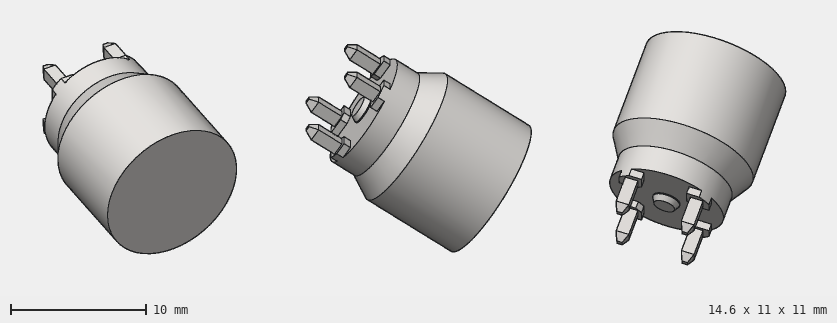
import cadquery as cq

total_length = 14.55
body_diameter = 10.97
neck_diameter = 8.9
neck_face_x = 3.29
neck_length = 2.0
flare_length = 1.79

pin_offset = 2.55
pin_width = 0.99
pin_tip_width = 0.41
pin_taper_length = 0.65

pad_height = 0.57
pad_inner_edge = 1.76
pad_outer_edge = 3.5
pad_corner_cut = 0.45

boss_base_radius = 1.06
boss_tip_radius = 0.81
boss_straight_height = 0.09
boss_taper_height = 0.44

flare_start_x = neck_face_x + neck_length
flare_end_x = flare_start_x + flare_length
pad_face_x = neck_face_x - pad_height
boss_straight_x = neck_face_x - boss_straight_height
boss_tip_x = boss_straight_x - boss_taper_height

body_radius = body_diameter / 2
neck_radius = neck_diameter / 2


def make_body():
    """Neck, flare, body and axial boss revolved as one profile about X."""
    profile_plane = cq.Plane(origin=(0, 0, 0), xDir=(1, 0, 0), normal=(0, 0, -1))
    return (
        cq.Workplane(profile_plane)
        .moveTo(boss_tip_x, 0)
        .lineTo(boss_tip_x, boss_tip_radius)
        .lineTo(boss_straight_x, boss_base_radius)
        .lineTo(neck_face_x, boss_base_radius)
        .lineTo(neck_face_x, neck_radius)
        .lineTo(flare_start_x, neck_radius)
        .lineTo(flare_end_x, body_radius)
        .lineTo(total_length, body_radius)
        .lineTo(total_length, 0)
        .close()
        .revolve(360, (0, 0, 0), (1, 0, 0))
    )


def make_pad(y_side, z_side):
    """Square pad with its inner corner cut off, trimmed to the neck outline."""
    cut_edge = pad_inner_edge + pad_corner_cut
    outline = [
        (cut_edge, pad_inner_edge),
        (pad_outer_edge, pad_inner_edge),
        (pad_outer_edge, pad_outer_edge),
        (pad_inner_edge, pad_outer_edge),
        (pad_inner_edge, cut_edge),
    ]
    square = (
        cq.Workplane("YZ", origin=(pad_face_x, 0, 0))
        .polyline([(y_side * y, z_side * z) for y, z in outline])
        .close()
        .extrude(pad_height)
    )
    neck_outline = cq.Workplane("YZ", origin=(pad_face_x, 0, 0)).circle(neck_radius).extrude(pad_height)
    return square.intersect(neck_outline)


def make_pin(y_side, z_side):
    """Square shank from the neck face, ending in a blunt pyramid at X = 0."""
    y = y_side * pin_offset
    z = z_side * pin_offset
    shank = (
        cq.Workplane("YZ", origin=(pin_taper_length, y, z))
        .rect(pin_width, pin_width)
        .extrude(neck_face_x - pin_taper_length)
    )
    tip = (
        cq.Workplane("YZ", origin=(0, y, z))
        .rect(pin_tip_width, pin_tip_width)
        .workplane(offset=pin_taper_length)
        .rect(pin_width, pin_width)
        .loft(ruled=True)
    )
    return shank.union(tip)


result = make_body()
for y_side in (-1, 1):
    for z_side in (-1, 1):
        result = result.union(make_pad(y_side, z_side))
        result = result.union(make_pin(y_side, z_side))